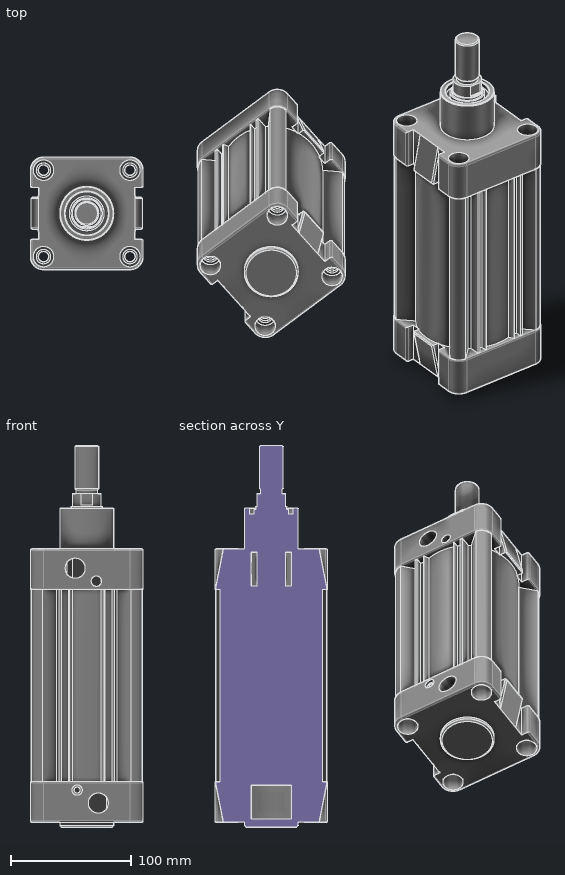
import cadquery as cq
import math


stroke_body_length = 160.0
cap_height = 34.0
front_cap_base = cap_height + stroke_body_length
body_top = front_cap_base + cap_height
rear_boss_height = 4.0
collar_height = 34.0
thread_length = 37.0
rod_shoulder_height = 46.0
rod_tip_length = 40.0
thread_shoulder = body_top + rod_shoulder_height
rod_end = thread_shoulder + rod_tip_length

cap_width = 94.0
cap_half = cap_width / 2
cap_corner_radius = 11.0
cap_outer_fillet = 1.5
cap_inner_fillet = 1.0

recess_floor = 40.0
recess_half_width = 21.5
recess_lip_radius = 1.7
lug_reach = 46.7
lug_embed = 2.0
lug_root = recess_floor - lug_embed
lug_half_width = 13.5
lug_edge_chamfer = 1.3
lug_rim_chamfer = 1.0

post_pitch_half = 36.0
post_radius = 10.4
barrel_radius = 43.0
flank_start = 36.9
rail_outer_edge = 23.2
rail_top = 45.5
slot_outer_edge = 21.0
slot_inner_edge = 15.0
slot_floor = 40.0
rail_inner_edge = 14.3
rail_foot = 12.0

tie_bore_diameter = 8.5
tie_head_diameter = 17.0
tie_head_depth = 20.0
tie_socket_diameter = 12.0
tie_socket_depth = 24.0

collar_diameter = 45.0
collar_chamfer = 0.6
collar_recess_diameter = 36.0
collar_recess_depth = 5.0
collar_mouth_chamfer = 0.6
wiper_diameter = 26.0
wiper_seat_diameter = 29.0
wiper_seat_drop = 1.0
wiper_rise = 1.2
rear_boss_chamfer = 1.5
rod_diameter = 24.0
rod_flat_width = 22.0
rod_flat_height = 9.5
thread_diameter = 20.0
thread_chamfer = 1.0
relief_diameter = 18.0

port_diameter = 16.7
port_offset = 9.6
port_inset = 16.2
cushion_hole_diameter = 8.6
cushion_hole_offset = 8.0
cushion_hole_inset = 27.0
cushion_screw_diameter = 5.0
cushion_screw_recess = 3.0
chamber_radius = 16.5
chamber_margin = 3.0


def cylinder(diameter, base, height):
    return cq.Workplane("XY").workplane(offset=base).circle(diameter / 2).extrude(height)


def recess_cutter(side, base):
    """Side recess with rounded mouth edges; side is +1 or -1 along X."""
    lip_start = cap_half - recess_lip_radius
    mouth = recess_half_width + recess_lip_radius
    lip_bend = recess_lip_radius * (1 - math.sqrt(0.5))
    bend_x = cap_half - lip_bend
    bend_y = recess_half_width + lip_bend
    profile = (
        cq.Workplane("XY").workplane(offset=base)
        .moveTo(side * recess_floor, -recess_half_width)
        .lineTo(side * lip_start, -recess_half_width)
        .threePointArc((side * bend_x, -bend_y), (side * cap_half, -mouth))
        .lineTo(side * cap_half, mouth)
        .threePointArc((side * bend_x, bend_y), (side * lip_start, recess_half_width))
        .lineTo(side * recess_floor, recess_half_width)
        .close()
    )
    return profile.extrude(cap_height)


def lug(side, outer_face, inner_face):
    """Wedge that is flush with the recess floor at the cap's outer face and leans out towards the barrel."""
    outermost_x = ">X" if side > 0 else "<X"
    barrel_side = ">Z" if inner_face > outer_face else "<Z"
    wedge = (
        cq.Workplane("XZ")
        .moveTo(side * lug_root, outer_face)
        .lineTo(side * recess_floor, outer_face)
        .lineTo(side * lug_reach, inner_face)
        .lineTo(side * lug_root, inner_face)
        .close()
        .extrude(lug_half_width, both=True)
    )
    wedge = wedge.faces(outermost_x).edges("not |Y").chamfer(lug_edge_chamfer)
    return wedge.faces(barrel_side).edges(outermost_x).chamfer(lug_rim_chamfer)


def end_cap(outer_face, inner_face):
    base = min(outer_face, inner_face)
    cap = (
        cq.Workplane("XY").workplane(offset=base)
        .rect(cap_width, cap_width)
        .extrude(cap_height)
        .edges("|Z").fillet(cap_corner_radius)
    )
    outer_side, inner_side = (">Z", "<Z") if outer_face > inner_face else ("<Z", ">Z")
    cap = cap.faces(outer_side).edges().fillet(cap_outer_fillet)
    cap = cap.faces(inner_side).edges().fillet(cap_inner_fillet)
    for side in (-1, 1):
        cap = cap.cut(recess_cutter(side, base))
        cap = cap.union(lug(side, outer_face, inner_face))
    return cap


def corner_post(x_sign, y_sign):
    """Rounded tie-screw post whose flanks fall back to the barrel at 45 degrees."""
    bend = post_pitch_half + post_radius * math.sqrt(0.5)
    flank_y = post_pitch_half + math.sqrt(post_radius**2 - (flank_start - post_pitch_half) ** 2)
    flank_foot = flank_y - flank_start

    def at(x, y):
        return (x_sign * x, y_sign * y)

    return (
        cq.Workplane("XY").workplane(offset=cap_height)
        .moveTo(*at(0, flank_foot))
        .lineTo(*at(flank_start, flank_y))
        .threePointArc(at(bend, bend), at(flank_y, flank_start))
        .lineTo(*at(flank_foot, 0))
        .lineTo(0, 0)
        .close()
        .extrude(stroke_body_length)
    )


def sensor_rail(x_sign, y_sign):
    """Raised rail that carries one sensor slot, before the slot is cut."""
    points = [
        (rail_outer_edge, 0),
        (rail_outer_edge, rail_top),
        (rail_inner_edge, rail_top),
        (rail_foot, math.sqrt(barrel_radius**2 - rail_foot**2)),
        (rail_foot, 0),
    ]
    return (
        cq.Workplane("XY").workplane(offset=cap_height)
        .polyline([(x_sign * x, y_sign * y) for x, y in points])
        .close()
        .extrude(stroke_body_length)
    )


def barrel():
    body = cylinder(2 * barrel_radius, cap_height, stroke_body_length)
    for x_sign in (-1, 1):
        for y_sign in (-1, 1):
            body = body.union(corner_post(x_sign, y_sign))
            body = body.union(sensor_rail(x_sign, y_sign))
    slot_width = slot_outer_edge - slot_inner_edge
    slot_height = cap_half - slot_floor
    slot_centres = [
        (x_sign * (slot_inner_edge + slot_width / 2), y_sign * (slot_floor + slot_height / 2))
        for x_sign in (-1, 1)
        for y_sign in (-1, 1)
    ]
    slots = (
        cq.Workplane("XY").workplane(offset=cap_height)
        .pushPoints(slot_centres)
        .rect(slot_width, slot_height)
        .extrude(stroke_body_length)
    )
    return body.cut(slots)


def tie_holes():
    corners = cq.Workplane("XY").rect(
        2 * post_pitch_half, 2 * post_pitch_half, forConstruction=True
    ).vertices()
    cutter = corners.circle(tie_bore_diameter / 2).extrude(body_top)
    for diameter, depth in (
        (tie_head_diameter, tie_head_depth),
        (tie_socket_diameter, tie_socket_depth),
    ):
        step = corners.circle(diameter / 2).extrude(depth)
        cutter = cutter.union(step)
        cutter = cutter.union(step.translate((0, 0, body_top - depth)))
    return cutter


def side_hole(diameter, x, z, start, end):
    """Hole along Y between two distances from the axis on the -Y side."""
    return (
        cq.Workplane("XZ", origin=(0, -end, 0))
        .center(x, z)
        .circle(diameter / 2)
        .extrude(start - end)
    )


def port_holes(direction, outer_face):
    """Port and cushion hole of one cap; direction is +1 for the rear cap, -1 for the front cap."""
    port = side_hole(
        port_diameter, direction * port_offset, outer_face + direction * port_inset, cap_half, 0
    )
    hole_x = -direction * cushion_hole_offset
    hole_z = outer_face + direction * cushion_hole_inset
    mouth_end = cap_half - cushion_screw_recess
    if direction > 0:
        mouth = side_hole(cushion_hole_diameter, hole_x, hole_z, cap_half, mouth_end)
        bore = side_hole(cushion_screw_diameter, hole_x, hole_z, mouth_end, 0)
        return port.union(mouth).union(bore)
    return port.union(side_hole(cushion_hole_diameter, hole_x, hole_z, cap_half, 0))


def chamber(base):
    return cylinder(2 * chamber_radius, base + chamber_margin, cap_height - 2 * chamber_margin)


def collar():
    recess_base = body_top + collar_height - collar_recess_depth
    body = cylinder(collar_diameter, body_top, collar_height)
    body = body.faces(">Z").edges().chamfer(collar_chamfer)
    recess = cylinder(collar_recess_diameter, recess_base, collar_recess_depth)
    body = body.cut(recess)
    mouth_edge = cq.selectors.RadiusNthSelector(0)
    body = body.faces(">Z").edges(mouth_edge).chamfer(collar_mouth_chamfer)
    seat = cylinder(wiper_seat_diameter, recess_base, collar_recess_depth - wiper_seat_drop)
    wiper = cylinder(wiper_diameter, recess_base, collar_recess_depth + wiper_rise)
    return body.union(seat).union(wiper)


def piston_rod():
    shank = cylinder(rod_diameter, front_cap_base, thread_shoulder - front_cap_base)
    for side in (-1, 1):
        flat = cq.Workplane("XY").box(
            rod_diameter, rod_diameter, rod_flat_height, centered=(True, True, False)
        ).translate((0, side * (rod_flat_width + rod_diameter) / 2, thread_shoulder - rod_flat_height))
        shank = shank.cut(flat)
    relief = cylinder(relief_diameter, thread_shoulder, rod_end - thread_shoulder)
    thread = cylinder(thread_diameter, rod_end - thread_length, thread_length)
    thread = thread.faces(">Z or <Z").edges().chamfer(thread_chamfer)
    return shank.union(relief).union(thread)


def rear_boss():
    boss = cylinder(collar_diameter, -rear_boss_height, rear_boss_height)
    return boss.faces("<Z").edges().chamfer(rear_boss_chamfer)


cylinder_body = (
    barrel()
    .union(end_cap(0, cap_height))
    .union(end_cap(body_top, front_cap_base))
    .union(collar())
    .union(rear_boss())
    .cut(tie_holes())
    .cut(chamber(0))
    .cut(chamber(front_cap_base))
    .cut(port_holes(1, 0))
    .cut(port_holes(-1, body_top))
)
result = cylinder_body.union(piston_rod())